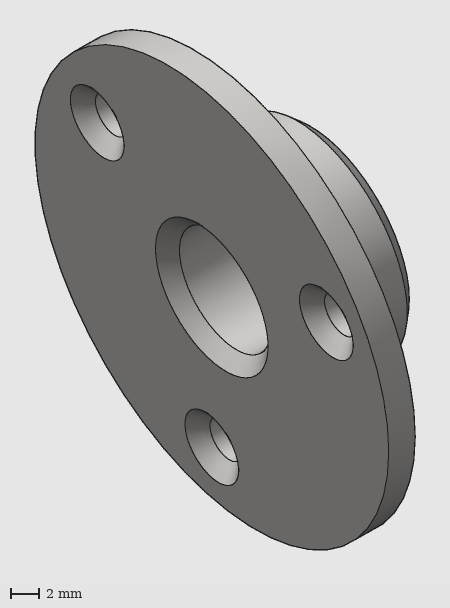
import cadquery as cq

flange_diameter = 39.6
flange_thickness = 2.4

boss_diameter = 19.7
overall_depth = 10.7
boss_chamfer = 1.0

bore_diameter = 10.2
bore_chamfer = 1.2
chamfer_cone_angle = 90.0

screw_count = 3
screw_circle_radius = 14.8
screw_start_angle = -90.0
screw_hole_diameter = 3.5
countersink_diameter = 6.0
countersink_angle = 90.0


def front_plane():
    """Plane on the flange front face, with its normal pointing out along -Y."""
    return cq.Workplane("XZ")


def make_body():
    flange = front_plane().circle(flange_diameter / 2).extrude(-flange_thickness)
    boss = front_plane().circle(boss_diameter / 2).extrude(-overall_depth)
    boss = boss.faces(">Y").chamfer(boss_chamfer)
    return flange.union(boss)


def cut_bore(body):
    entry_diameter = bore_diameter + 2 * bore_chamfer
    return body.copyWorkplane(front_plane()).cskHole(bore_diameter, entry_diameter, chamfer_cone_angle)


def cut_screw_holes(body):
    return (
        body.copyWorkplane(front_plane())
        .polarArray(screw_circle_radius, screw_start_angle, 360, screw_count)
        .cskHole(screw_hole_diameter, countersink_diameter, countersink_angle)
    )


result = cut_screw_holes(cut_bore(make_body()))